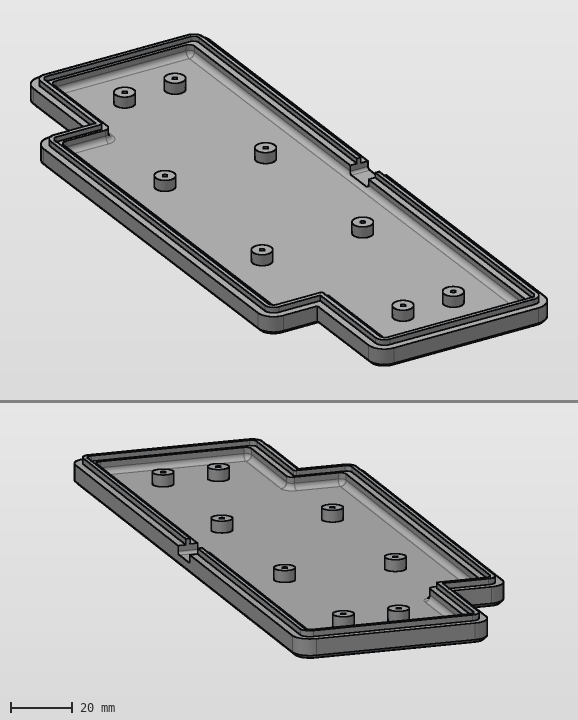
import cadquery as cq
LENGTH = 223.25
WIDTH = 85.85
HEIGHT = 8.8

KEY_PITCH = 19.05
STEP_X = 2 * KEY_PITCH
STEP_Y = KEY_PITCH

CORNER_RADIUS = 6.05
BOTTOM_CHAMFER = 1.2
LIP_HEIGHT = 2.0
SHOULDER_Z = HEIGHT - LIP_HEIGHT

FLOOR_THICKNESS = 3.0
POST_HEIGHT = 4.0
POST_DIAMETER = 7.0
PILOT_DIAMETER = 1.6
INNER_POST_X = 30.6
OUTER_POST_X = INNER_POST_X + 3 * KEY_PITCH
LEDGE_Z = FLOOR_THICKNESS + POST_HEIGHT

LIP_OUTER_INSET = 2.7
LIP_INNER_INSET = 4.2
LIP_INNER_STEP_INSET = 4.4
LIP_STEP_RADIUS = 0.7

CAVITY_INSET_X = 5.55
CAVITY_INSET_Y = 6.73
CAVITY_RADIUS = 2.0

NOTCH_WIDTH = 11.5
NOTCH_FLOOR_Z = 4.0
NOTCH_RADIUS = 1.0


def stepped_prism(bottom, top, inset_x, inset_y, step_inset_x, step_inset_y):
    """Upright prism of the tray outline, a rectangle without its two front corners, moved inwards.

    The step insets apply to the walls of the cut-away corners, the others to the remaining walls.
    """
    half_length = LENGTH / 2 - inset_x
    half_front = LENGTH / 2 - STEP_X - step_inset_x
    rear = WIDTH / 2 - inset_y
    front = -WIDTH / 2 + inset_y
    shoulder = -WIDTH / 2 + STEP_Y + step_inset_y
    outline = [
        (-half_length, rear),
        (-half_length, shoulder),
        (-half_front, shoulder),
        (-half_front, front),
        (half_front, front),
        (half_front, shoulder),
        (half_length, shoulder),
        (half_length, rear),
    ]
    return cq.Workplane("XY", origin=(0, 0, bottom)).polyline(outline).close().extrude(top - bottom)


def evenly_inset_prism(bottom, top, inset):
    return stepped_prism(bottom, top, inset, inset, inset, inset)


def is_step_corner(edge):
    """True for an upright edge where the outline turns inwards at a cut-away corner."""
    centre = edge.Center()
    near_step_x = abs(abs(centre.x) - (LENGTH / 2 - STEP_X)) < STEP_X / 2
    near_step_y = abs(centre.y - (STEP_Y - WIDTH / 2)) < STEP_Y / 2
    return near_step_x and near_step_y


def step_corners(prism):
    return [edge for edge in prism.edges("|Z").vals() if is_step_corner(edge)]


def round_outer_corners(prism, radius):
    """Round every upright edge except the two where the outline turns inwards."""
    corners = [edge for edge in prism.edges("|Z").vals() if not is_step_corner(edge)]
    return prism.newObject(corners).fillet(radius)


def make_body():
    prism = evenly_inset_prism(0, SHOULDER_Z, 0)
    return round_outer_corners(prism, CORNER_RADIUS).faces("<Z").chamfer(BOTTOM_CHAMFER)


def make_lip():
    prism = evenly_inset_prism(SHOULDER_Z, HEIGHT, LIP_OUTER_INSET)
    return round_outer_corners(prism, CORNER_RADIUS - LIP_OUTER_INSET)


def make_rim_recess():
    """Space inside the lip, down to the inner ledge."""
    prism = stepped_prism(
        LEDGE_Z, HEIGHT, LIP_INNER_INSET, LIP_INNER_INSET, LIP_INNER_STEP_INSET, LIP_INNER_STEP_INSET
    )
    recess = round_outer_corners(prism, CORNER_RADIUS - LIP_INNER_INSET)
    return recess.newObject(step_corners(recess)).fillet(LIP_STEP_RADIUS)


def make_cavity():
    """Main pocket, rounded at its upright corners and around its floor."""
    prism = stepped_prism(
        FLOOR_THICKNESS, HEIGHT, CAVITY_INSET_X, CAVITY_INSET_Y, CAVITY_INSET_X, CAVITY_INSET_Y
    )
    return prism.edges("|Z or <Z").fillet(CAVITY_RADIUS)


def make_notch():
    """Round-bottomed slot that runs through the rear wall and the fillet at its foot."""
    depth = CAVITY_INSET_Y + CAVITY_RADIUS
    height = HEIGHT - NOTCH_FLOOR_Z
    centre_y = WIDTH / 2 - depth / 2
    notch = cq.Workplane("XY", origin=(0, centre_y, NOTCH_FLOOR_Z))
    notch = notch.box(NOTCH_WIDTH, depth, height, centered=(True, True, False))
    return notch.edges("|Y and <Z").fillet(NOTCH_RADIUS)


def make_posts():
    """Screw posts with pilot holes as deep as the posts are tall, mirrored about the YZ plane."""
    half_pattern = [
        (OUTER_POST_X, KEY_PITCH),
        (OUTER_POST_X, 0),
        (INNER_POST_X, KEY_PITCH),
        (INNER_POST_X, -KEY_PITCH),
    ]
    positions = [(side * x, y) for side in (-1, 1) for x, y in half_pattern]
    floor = cq.Workplane("XY", origin=(0, 0, FLOOR_THICKNESS)).pushPoints(positions)
    posts = floor.circle(POST_DIAMETER / 2).extrude(POST_HEIGHT)
    pilots = floor.circle(PILOT_DIAMETER / 2).extrude(POST_HEIGHT)
    return posts.cut(pilots)


tray = make_body().union(make_lip())
tray = tray.cut(make_rim_recess()).cut(make_cavity()).cut(make_notch())
result = tray.union(make_posts())